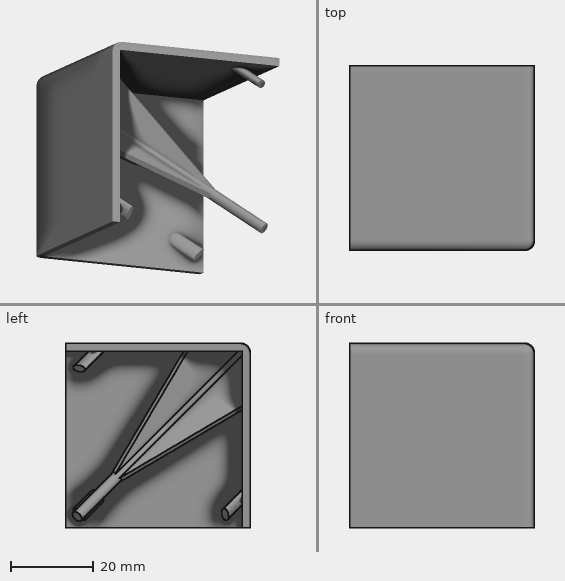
import cadquery as cq

side = 45.0
wall = 2.02
outer_radius = 2.48

rod_diameter = 2.8
rod_reach = 42.2

rib_thickness = 1.4
rib_foot = 15.8
rib_tip = 35.55

pin_long_radius = 2.0
pin_short_radius = 1.05
pin_reach = 41.7
pin_depth = 6.15

embed = 1.35

corner = cq.Vector(side, 0, side)
inward = (cq.Vector(-1, 0, 0), cq.Vector(0, 1, 0), cq.Vector(0, 0, -1))
diagonal = (inward[0] + inward[1] + inward[2]).normalized()


def wall_point(axis, depth, along):
    """Point at a depth below the wall normal to axis, on that wall's diagonal."""
    point = corner
    for index, direction in enumerate(inward):
        distance = depth if index == axis else along
        point = point + direction * distance
    return point


def envelope():
    """Cube that encloses the whole part."""
    return cq.Workplane("XY").box(side, side, side, centered=False)


def make_shell():
    block = envelope().edges(">X and <Y or >X and >Z or <Y and >Z").fillet(outer_radius)
    return block.cut(envelope().translate((-wall, wall, -wall)))


def make_rod():
    start = wall_point(0, embed, embed)
    end = wall_point(0, rod_reach, rod_reach)
    plane = cq.Plane(origin=start, normal=diagonal)
    rod = cq.Workplane(plane).circle(rod_diameter / 2).extrude((end - start).Length)
    return rod.intersect(envelope().translate((-embed, embed, -embed)))


def make_rib(axis):
    """Triangular rib between the rod and the diagonal of one wall."""
    root = wall_point(axis, embed, embed)
    slope = (rib_tip - rib_foot) / (rib_tip - wall)
    foot = wall_point(axis, embed, rib_foot - slope * (wall - embed))
    tip = wall_point(axis, rib_tip, rib_tip)
    along_wall = (foot - root).normalized()
    plane = cq.Plane(origin=root, xDir=along_wall, normal=along_wall.cross(inward[axis]))
    points = [plane.toLocalCoords(point).toTuple()[:2] for point in (root, foot, tip)]
    return cq.Workplane(plane).polyline(points).close().extrude(rib_thickness / 2, both=True)


def make_pin(axis):
    """Elliptical pin parallel to the rod, rising from the free corner of one wall."""
    end = wall_point(axis, pin_depth, pin_reach)
    long_direction = inward[axis].cross(diagonal)
    plane = cq.Plane(origin=end, xDir=long_direction, normal=diagonal * -1)
    length = (pin_depth + wall) * 3 ** 0.5
    pin = cq.Workplane(plane).ellipse(pin_long_radius, pin_short_radius).extrude(length)
    return pin.intersect(envelope().translate(inward[axis] * embed))


result = make_shell().union(make_rod())
for wall_axis in range(len(inward)):
    result = result.union(make_rib(wall_axis)).union(make_pin(wall_axis))